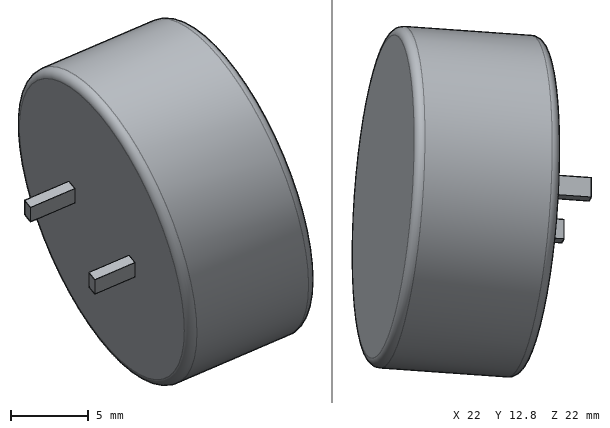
import cadquery as cq

body_diameter = 22.0
body_depth = 9.5
edge_radius = 0.6

pin_spacing = 7.6
pin_width = 0.75
pin_height = 1.35
long_pin_length = 3.3
short_pin_length = 3.0


def make_body():
    """Cylinder with both circular edges rounded."""
    disc = cq.Workplane("XZ").circle(body_diameter / 2).extrude(-body_depth)
    return disc.edges("%CIRCLE").fillet(edge_radius)


def make_pin(x_center, length):
    """Rectangular pin growing from the pin face toward -Y."""
    return cq.Workplane("XZ").center(x_center, 0).rect(pin_width, pin_height).extrude(length)


long_pin = make_pin(-pin_spacing / 2, long_pin_length)
short_pin = make_pin(pin_spacing / 2, short_pin_length)
result = make_body().union(long_pin).union(short_pin)